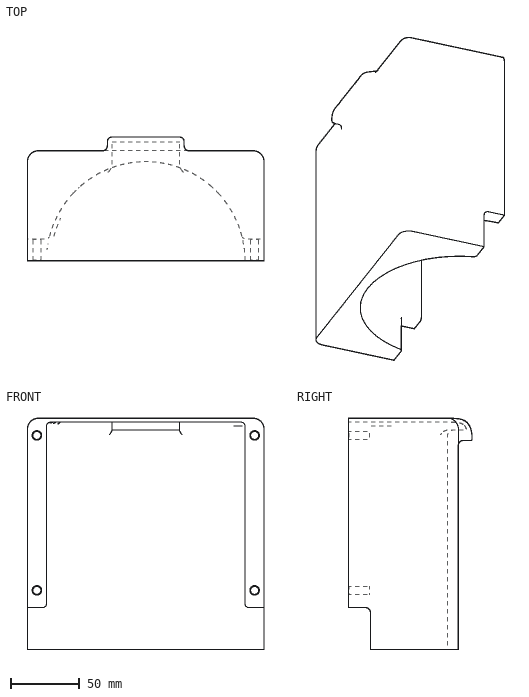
import cadquery as cq
import math

width = 172.0
body_depth = 80.0
height = 168.0
body_fillet = 8.0

cavity_radius = 72.0
roof_thickness = 3.0
cavity_roof_fillet = 3.0

notch_depth = 16.0
notch_height = 30.5
notch_fillet = 3.5
notch_edge_fillet = 3.0

hole_diameter = 5.8
hole_chamfer = 0.5
hole_depth = 15.5
hole_spacing = 158.0
hole_heights = (43.0, height - 12.5)

hook_width = 55.9
hook_reach = 10.0
hook_height = 16.3
hook_upright = 2.0
hook_crown_reach = 6.5
hook_crown_drop = 3.5
hook_root_fillet = 3.5
hook_side_fillet = 3.5
hook_bottom_fillet = 1.4

pocket_width = 49.2
pocket_height = 5.8
pocket_mouth_fillet = 4.0

clearance = 1.7
tolerance = 0.02

hook_back = body_depth + hook_reach
hook_bottom = height - hook_height
roof = height - roof_thickness


def side_prism(length, outline):
    """Extrude a closed YZ outline along X, centred on X = 0."""
    return outline.extrude(length).translate((-length / 2, 0, 0))


def rib_outline(margin):
    """Outline that follows the back and top of the body at a constant distance."""
    radius = body_fillet + margin
    back = body_depth + margin
    top = height + margin
    inset = radius * (1 - math.sqrt(0.5))
    return (
        cq.Workplane("YZ")
        .moveTo(0, hook_bottom)
        .lineTo(0, top)
        .lineTo(back - radius, top)
        .threePointArc((back - inset, top - inset), (back, top - radius))
        .lineTo(back, hook_bottom)
        .close()
    )


def crown_outline(inset):
    """Outline whose crown sweeps from the flat top to the upright hook back, set inwards evenly."""
    diagonal = inset * math.sqrt(0.5)
    crown_start = (body_depth - body_fillet, height - inset)
    crown_middle = (body_depth + hook_crown_reach - diagonal, height - hook_crown_drop - diagonal)
    crown_end = (hook_back - inset, hook_bottom + hook_upright)
    return (
        cq.Workplane("YZ")
        .moveTo(0, 0)
        .lineTo(0, height - inset)
        .lineTo(*crown_start)
        .spline([crown_middle, crown_end], tangents=[(1, 0), (0, -1)], includeCurrent=True)
        .lineTo(hook_back - inset, 0)
        .close()
    )


def box_selector(x_half, y_range, z_range):
    """Select what lies wholly inside a box centred on X = 0."""
    low = (-x_half - tolerance, y_range[0] - tolerance, z_range[0] - tolerance)
    high = (x_half + tolerance, y_range[1] + tolerance, z_range[1] + tolerance)
    return cq.selectors.BoxSelector(low, high, boundingbox=True)


def make_body():
    body = cq.Workplane("XY").box(width, body_depth, height, centered=(True, False, False))
    return body.edges("(|Z and >Y) or (|Y and >Z) or (|X and >Y and >Z)").fillet(body_fillet)


def add_hook(body):
    rib = side_prism(hook_width, rib_outline(hook_reach + clearance))
    joined = body.union(rib)
    root = box_selector(hook_width / 2, (0, body_depth), (hook_bottom, height))
    joined = joined.edges(root).fillet(hook_root_fillet)
    hooked = joined.intersect(side_prism(width, crown_outline(0)))

    hook_end = box_selector(hook_width / 2, (hook_back, hook_back), (hook_bottom, height))
    rounded = hooked.edges(hook_end).edges("|Z").fillet(hook_side_fillet)
    underside = rounded.faces(cq.selectors.NearestToPointSelector((0, hook_back - clearance, hook_bottom)))
    return underside.edges("not(<Y)").fillet(hook_bottom_fillet)


def cut_cavity(body):
    cavity = cq.Workplane("XY").circle(cavity_radius).extrude(roof)
    return body.cut(cavity.faces(">Z").edges().fillet(cavity_roof_fillet))


def cut_notch(body):
    notch = cq.Workplane("XY").box(width, notch_depth, notch_height, centered=(True, False, False))
    notched = body.cut(notch.edges("|X and >Y and >Z").fillet(notch_fillet))
    rim = box_selector(cavity_radius, (0, notch_depth), (0, notch_height))
    return notched.edges(rim).fillet(notch_edge_fillet)


def cut_pocket(body):
    floor = roof - pocket_height
    above_floor = (
        cq.Workplane("XY", origin=(0, 0, floor))
        .box(pocket_width, hook_back, pocket_height, centered=(True, False, False))
    )
    hollowed = body.cut(side_prism(pocket_width, crown_outline(roof_thickness)).intersect(above_floor))
    mouth = box_selector(pocket_width / 2, (body_depth / 2, cavity_radius), (floor, roof - cavity_roof_fillet))
    return hollowed.edges(mouth).fillet(pocket_mouth_fillet)


def cut_holes(body):
    centres = [(side * hole_spacing / 2, z) for side in (-1, 1) for z in hole_heights]
    front_face = cq.Workplane("XZ").pushPoints(centres)
    shafts = front_face.circle(hole_diameter / 2).extrude(-hole_depth)
    countersinks = front_face.circle(hole_diameter / 2 + hole_chamfer).extrude(-hole_chamfer, taper=45)
    return body.cut(shafts).cut(countersinks)


result = make_body()
result = add_hook(result)
result = cut_cavity(result)
result = cut_pocket(result)
result = cut_notch(result)
result = cut_holes(result)